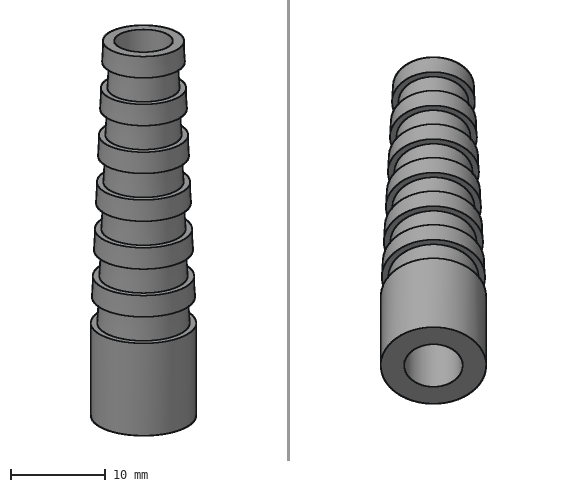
import cadquery as cq

total_height = 43.0
collar_height = 10.6
collar_radius = 5.6
tip_radius = 4.3
bore_diameter = 6.2

groove_count = 6
ring_height = 2.4
groove_depth = 0.7

tail_height = total_height - collar_height
ring_pitch = tail_height / groove_count
groove_height = ring_pitch - ring_height


def tail_radius(z):
    """Radius of the straight taper from the collar top to the tip."""
    return collar_radius - (collar_radius - tip_radius) * (z - collar_height) / tail_height


def sleeve_profile():
    """Half section of the solid outside, with a groove below each raised ring."""
    points = [(0, 0), (collar_radius, 0), (collar_radius, collar_height)]
    for index in range(groove_count):
        groove_bottom = collar_height + index * ring_pitch
        ring_bottom = groove_bottom + groove_height
        ring_top = groove_bottom + ring_pitch
        points += [
            (tail_radius(groove_bottom) - groove_depth, groove_bottom),
            (tail_radius(ring_bottom) - groove_depth, ring_bottom),
            (tail_radius(ring_bottom), ring_bottom),
            (tail_radius(ring_top), ring_top),
        ]
    points.append((0, total_height))
    return points


sleeve = cq.Workplane("XZ").polyline(sleeve_profile()).close().revolve(360, (0, 0), (0, 1))

result = sleeve.faces("<Z").workplane(origin=(0, 0, 0)).hole(bore_diameter)